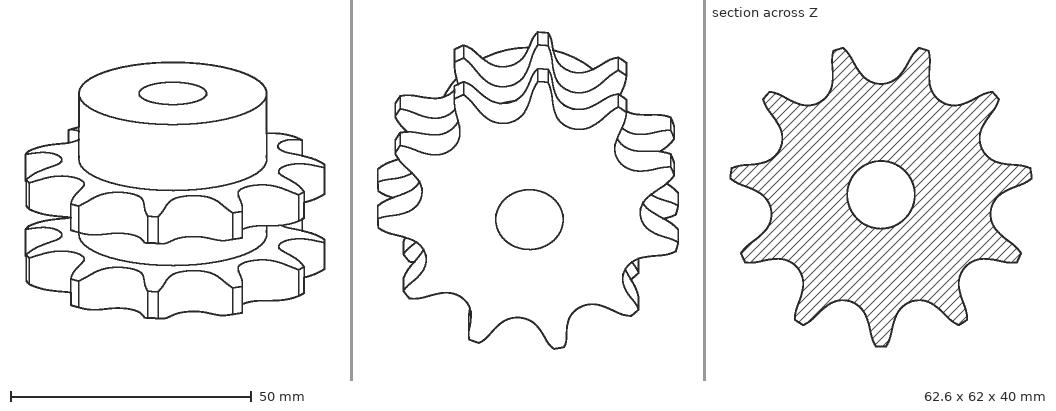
import cadquery as cq
import math


pitch = 15.875
roller_diameter = 10.16
row_spacing = 16.5
row_count = 2

tooth_count = 11
tooth_width = 9.0
tip_diameter = 63.0
side_relief_depth = 1.6
side_relief_radius = 16.0
first_gap_angle = 90.0

hub_diameter = 39.0
bore_diameter = 14.0
total_height = 40.0

tooth_angle = 360.0 / tooth_count
half_tooth_angle = math.radians(tooth_angle / 2)
pitch_radius = pitch / 2 / math.sin(half_tooth_angle)
tip_radius = tip_diameter / 2

inch = 25.4
seat_radius = (1.005 * roller_diameter + 0.003 * inch) / 2
seat_end_angle = math.radians(35 + 60 / tooth_count)
working_arc_angle = math.radians(18 - 56 / tooth_count)
topping_angle = math.radians(17 - 64 / tooth_count)
flank_angle = seat_end_angle - working_arc_angle
working_center_offset = 0.8 * roller_diameter
topping_center_offset = 1.4 * roller_diameter
working_radius = working_center_offset + seat_radius
straight_length = (
    topping_center_offset * math.sin(topping_angle)
    - working_center_offset * math.sin(working_arc_angle)
)
topping_radius = (
    topping_center_offset * math.cos(topping_angle)
    + working_center_offset * math.cos(working_arc_angle)
    - working_radius
)


def polar(center, radius, angle):
    """Point at a radius and an angle (radians) from a center."""
    return (center[0] + radius * math.cos(angle), center[1] + radius * math.sin(angle))


def mirrored(point):
    """Point reflected across the gap centerline (X axis of the gap)."""
    return (point[0], -point[1])


def make_tooth_gap():
    """Prism filling one gap between teeth, centered on +X and open beyond the tip circle."""
    seat_center = (pitch_radius, 0)

    seat_end_direction = math.pi / 2 + seat_end_angle
    flank_direction = math.pi / 2 + flank_angle
    seat_bottom = (pitch_radius - seat_radius, 0)
    seat_end = polar(seat_center, seat_radius, seat_end_direction)

    working_center = polar(seat_center, -working_center_offset, seat_end_direction)
    working_mid = polar(working_center, working_radius, (seat_end_direction + flank_direction) / 2)
    working_end = polar(working_center, working_radius, flank_direction)
    straight_end = polar(working_end, straight_length, flank_direction - math.pi / 2)

    topping_center = polar(straight_end, topping_radius, flank_direction)
    center_to_centerline = topping_center_offset - pitch / 2
    point_height = math.sqrt(topping_radius**2 - center_to_centerline**2)
    point_radius = pitch / 2 / math.tan(half_tooth_angle) + point_height
    tooth_point = polar((0, 0), point_radius, half_tooth_angle)
    topping_start_angle = flank_direction - math.pi
    topping_end_angle = math.atan2(
        tooth_point[1] - topping_center[1], tooth_point[0] - topping_center[0]
    )
    topping_mid = polar(topping_center, topping_radius, (topping_start_angle + topping_end_angle) / 2)

    return (
        cq.Workplane("XY")
        .moveTo(*mirrored(seat_end))
        .threePointArc(seat_bottom, seat_end)
        .threePointArc(working_mid, working_end)
        .lineTo(*straight_end)
        .threePointArc(topping_mid, tooth_point)
        .threePointArc((point_radius, 0), mirrored(tooth_point))
        .threePointArc(mirrored(topping_mid), mirrored(straight_end))
        .lineTo(*mirrored(working_end))
        .threePointArc(mirrored(working_mid), mirrored(seat_end))
        .close()
        .extrude(tooth_width)
    )


def make_row_blank():
    """Toothless disc whose sides curve in towards the tip circle."""
    rise = side_relief_radius - side_relief_depth
    relief_start = tip_radius - math.sqrt(side_relief_radius**2 - rise**2)
    mid_angle = (math.pi / 2 + math.asin(rise / side_relief_radius)) / 2
    upper_mid = polar((relief_start, tooth_width - side_relief_radius), side_relief_radius, mid_angle)
    lower_mid = polar((relief_start, side_relief_radius), side_relief_radius, -mid_angle)
    return (
        cq.Workplane("XZ")
        .lineTo(relief_start, 0)
        .threePointArc(lower_mid, (tip_radius, side_relief_depth))
        .lineTo(tip_radius, tooth_width - side_relief_depth)
        .threePointArc(upper_mid, (relief_start, tooth_width))
        .lineTo(0, tooth_width)
        .close()
        .revolve(360, (0, 0, 0), (0, 1, 0))
    )


def make_tooth_row():
    """One complete toothed disc standing on Z = 0."""
    row = make_row_blank()
    gap = make_tooth_gap()
    for index in range(tooth_count):
        row = row.cut(gap.rotate((0, 0, 0), (0, 0, 1), first_gap_angle + index * tooth_angle))
    return row


def make_sprocket():
    """Hub with all tooth rows, bored through."""
    sprocket = cq.Workplane("XY").circle(hub_diameter / 2).extrude(total_height)
    tooth_row = make_tooth_row()
    for index in range(row_count):
        sprocket = sprocket.union(tooth_row.translate((0, 0, index * row_spacing)))
    bore = cq.Workplane("XY").circle(bore_diameter / 2).extrude(total_height)
    return sprocket.cut(bore)


result = make_sprocket()